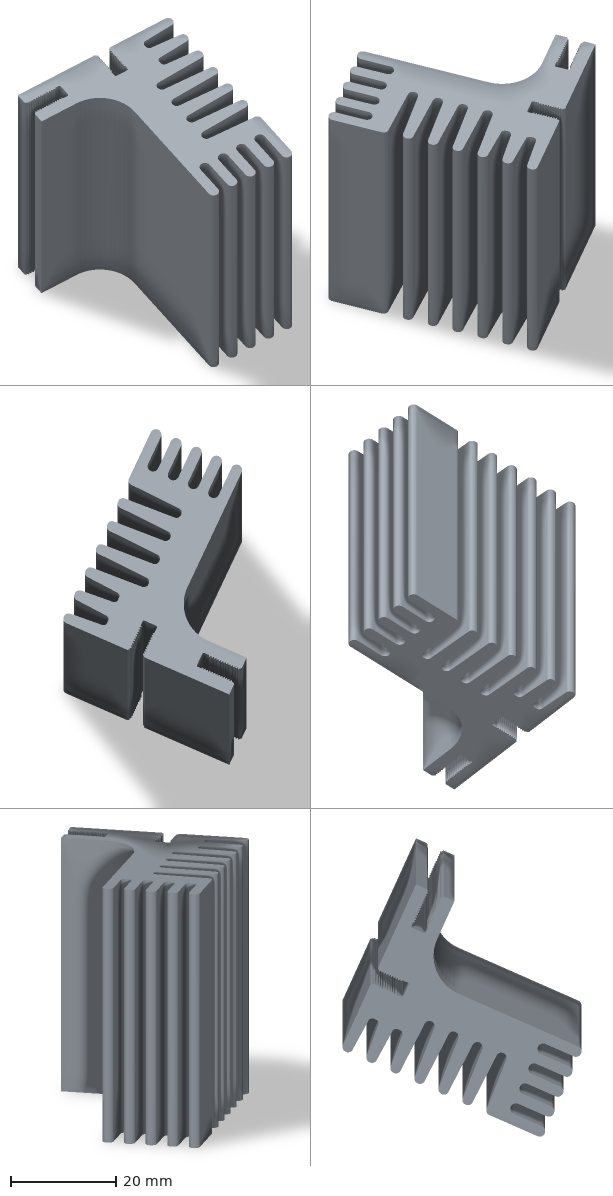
import cadquery as cq
import math

width = 42.0
depth = 35.0
length = 50.0

leg_width = 8.0
arm_thickness = 19.0
arm_front = depth - arm_thickness
inner_corner_radius = 8.0

back_gap_pitch = 5.0
first_gap_center = 3.5
gap_mouth_width = 3.05
gap_floor_width = 1.9
shallow_gap_count = 2
shallow_gap_depth = 8.0
shallow_floor_radius = 0.75
deep_gap_count = 4
deep_gap_depth = 12.0
deep_floor_radius = 0.95
back_tip_radius = 0.95

side_gap_count = 4
side_gap_width = 2.1
side_gap_depth = 8.0
side_fin_width = (arm_thickness - side_gap_count * side_gap_width) / (side_gap_count + 1)
side_tip_radius = 1.05

slot_width = 3.0
slot_mouth_chamfer = 0.25
slot_floor_radius = 0.25
thread_pitch = 0.5
tooth_height = 0.25
tooth_crest = 0.125
tooth_flank_angle = 30.0
tooth_base = tooth_crest + 2 * tooth_height * math.tan(math.radians(tooth_flank_angle))
first_tooth = 0.5
left_slot_y = 19.5
left_slot_depth = 6.6
left_slot_teeth = 10
front_slot_x = leg_width / 2
front_slot_depth = 8.0
front_slot_teeth = 13

overcut = 0.5


def make_body():
    """L-shaped block with a rounded inner corner."""
    outline = (
        cq.Workplane("XY")
        .polyline([
            (0, 0),
            (leg_width, 0),
            (leg_width, arm_front),
            (width, arm_front),
            (width, depth),
            (0, depth),
        ])
        .close()
        .extrude(length)
    )
    inner_corner = cq.selectors.NearestToPointSelector((leg_width, arm_front, length / 2))
    return outline.edges("|Z").edges(inner_corner).fillet(inner_corner_radius)


def back_gap(center_x, gap_depth, floor_radius):
    """Tapered gap open at the back face, with a rounded floor."""
    floor_y = depth - gap_depth
    taper = (gap_mouth_width - gap_floor_width) / 2 / gap_depth
    half_floor = gap_floor_width / 2
    half_mouth = gap_mouth_width / 2 + taper * overcut
    mouth_y = depth + overcut
    return (
        cq.Workplane("XY")
        .polyline([
            (center_x - half_mouth, mouth_y),
            (center_x - half_floor, floor_y),
            (center_x + half_floor, floor_y),
            (center_x + half_mouth, mouth_y),
        ])
        .close()
        .extrude(length)
        .edges("|Z and <Y")
        .fillet(floor_radius)
    )


def side_gap(center_y):
    """Parallel gap open at the right side, with a half-round floor."""
    radius = side_gap_width / 2
    round_x = width - side_gap_depth + radius
    mouth_x = width + overcut
    return (
        cq.Workplane("XY")
        .moveTo(mouth_x, center_y + radius)
        .lineTo(round_x, center_y + radius)
        .threePointArc((round_x - radius, center_y), (round_x, center_y - radius))
        .lineTo(mouth_x, center_y - radius)
        .close()
        .extrude(length)
    )


def serrated_wall(side, start, tooth_count):
    """Points of one slot wall from mouth to last tooth; side is +1 or -1 in Y."""
    root = slot_width / 2
    crest = root - tooth_height
    points = [(0, side * (root + slot_mouth_chamfer)), (slot_mouth_chamfer, side * root)]
    for index in range(tooth_count):
        center = start + index * thread_pitch
        points += [
            (center - tooth_base / 2, side * root),
            (center - tooth_crest / 2, side * crest),
            (center + tooth_crest / 2, side * crest),
            (center + tooth_base / 2, side * root),
        ]
    return points


def screw_slot(slot_depth, tooth_count):
    """Slot running from the origin along +X; its two walls are half a pitch apart."""
    upper = serrated_wall(1, first_tooth + thread_pitch / 2, tooth_count)
    lower = serrated_wall(-1, first_tooth, tooth_count)
    floor = [(slot_depth, slot_width / 2), (slot_depth, -slot_width / 2)]
    return (
        cq.Workplane("XY")
        .polyline(upper + floor + lower[::-1])
        .close()
        .extrude(length)
        .edges("|Z and >X")
        .fillet(slot_floor_radius)
    )


result = make_body()

for index in range(shallow_gap_count + deep_gap_count):
    gap_x = first_gap_center + index * back_gap_pitch
    if index < shallow_gap_count:
        result = result.cut(back_gap(gap_x, shallow_gap_depth, shallow_floor_radius))
    else:
        result = result.cut(back_gap(gap_x, deep_gap_depth, deep_floor_radius))

result = result.edges("|Z and >Y").edges("not >X").fillet(back_tip_radius)

first_side_gap_y = arm_front + side_fin_width + side_gap_width / 2
for index in range(side_gap_count):
    gap_y = first_side_gap_y + index * (side_fin_width + side_gap_width)
    result = result.cut(side_gap(gap_y))
result = result.edges("|Z and >X").fillet(side_tip_radius)

left_slot = screw_slot(left_slot_depth, left_slot_teeth).translate((0, left_slot_y, 0))
front_slot = (
    screw_slot(front_slot_depth, front_slot_teeth)
    .rotate((0, 0, 0), (0, 0, 1), 90)
    .translate((front_slot_x, 0, 0))
)
result = result.cut(left_slot).cut(front_slot)